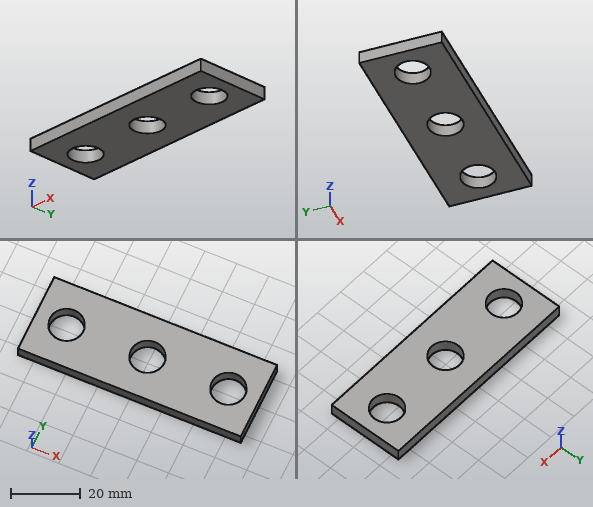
import cadquery as cq

length = 69.85
width = 25.4
thickness = 4.0

hole_diameter = 10.4
hole_spacing = 25.35
hole_count = 3

bar = cq.Workplane("XY").box(length, width, thickness)

result = (
    bar.faces(">Z")
    .workplane()
    .rarray(hole_spacing, width, hole_count, 1)
    .hole(hole_diameter)
)